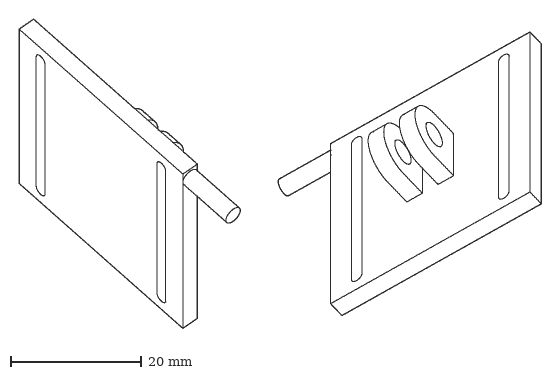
import cadquery as cq

total_length = 48.0
plate_size = 38.0
total_depth = 13.0
plate_thickness = 3.0

slot_width = 2.0
slot_length = 34.0
slot_inset = 5.0

pin_diameter = plate_thickness
pin_length = total_length - plate_size
pin_drop = 2.0

ear_thickness = plate_thickness
ear_gap = plate_thickness
ear_radius = 5.0
ear_hole_diameter = 4.2

plate_middle = plate_size / 2
ear_axis_y = total_depth - ear_radius


def make_plate():
    plate = cq.Workplane("XY").box(plate_size, plate_thickness, plate_size, centered=False)
    slot_offset = plate_middle - slot_inset
    slots = (
        cq.Workplane("XZ", origin=(plate_middle, 0, plate_middle))
        .pushPoints([(-slot_offset, 0), (slot_offset, 0)])
        .slot2D(slot_length, slot_width, 90)
        .extrude(-plate_thickness)
    )
    return plate.cut(slots)


def make_pin():
    pin_origin = (plate_size, plate_thickness / 2, plate_size - pin_drop)
    return cq.Workplane("YZ", origin=pin_origin).circle(pin_diameter / 2).extrude(pin_length)


def make_ear(start_x):
    """Round-ended lug with a cross hole, growing in +X from start_x."""
    root_y = plate_thickness - ear_axis_y
    return (
        cq.Workplane("YZ", origin=(start_x, ear_axis_y, plate_middle))
        .moveTo(root_y, -ear_radius)
        .lineTo(0, -ear_radius)
        .threePointArc((ear_radius, 0), (0, ear_radius))
        .lineTo(root_y, ear_radius)
        .close()
        .moveTo(0, 0)
        .circle(ear_hole_diameter / 2)
        .extrude(ear_thickness)
    )


result = make_plate().union(make_pin())
for ear_start in (plate_middle - ear_gap / 2 - ear_thickness, plate_middle + ear_gap / 2):
    result = result.union(make_ear(ear_start))